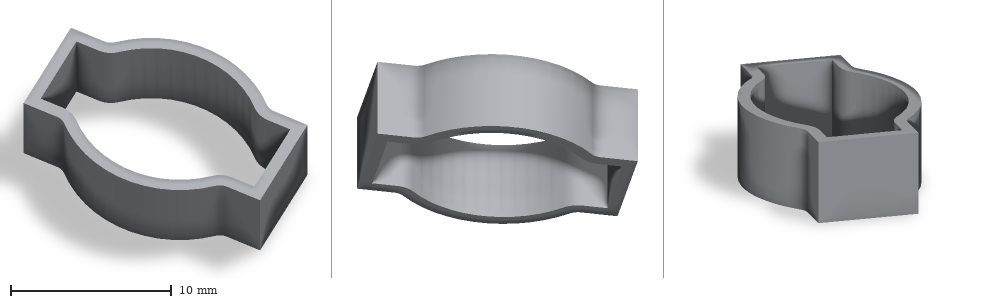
import cadquery as cq
import math

length = 16.5
end_width = 6.5
bulge_width = 11.27
height = 5.3
wall = 0.8

bulge_radius = 7.6
blend_radius = 0.94

bulge_center_y = bulge_width / 2 - bulge_radius
blend_center_y = end_width / 2 + blend_radius
center_rise = blend_center_y - bulge_center_y
center_distance = bulge_radius + blend_radius
blend_center_x = math.sqrt(center_distance**2 - center_rise**2)

tangent_angle = math.atan2(blend_center_x, center_rise)


def band_outline(inset):
    """Solid bounded by the outer profile moved inward by inset."""
    half_length = length / 2 - inset
    half_width = end_width / 2 - inset
    bulge = bulge_radius - inset
    blend = blend_radius + inset

    tangent_x = bulge * math.sin(tangent_angle)
    tangent_y = bulge_center_y + bulge * math.cos(tangent_angle)
    blend_mid_x = blend_center_x - blend * math.sin(tangent_angle / 2)
    blend_mid_y = blend_center_y - blend * math.cos(tangent_angle / 2)
    crest_y = bulge_center_y + bulge

    outline = cq.Workplane("XY").moveTo(-half_length, half_width)
    for side in (1, -1):
        outline = (
            outline.lineTo(-side * blend_center_x, side * half_width)
            .threePointArc(
                (-side * blend_mid_x, side * blend_mid_y),
                (-side * tangent_x, side * tangent_y),
            )
            .threePointArc((0, side * crest_y), (side * tangent_x, side * tangent_y))
            .threePointArc(
                (side * blend_mid_x, side * blend_mid_y),
                (side * blend_center_x, side * half_width),
            )
            .lineTo(side * half_length, side * half_width)
            .lineTo(side * half_length, -side * half_width)
        )
    return outline.close().extrude(height)


result = band_outline(0).cut(band_outline(wall))